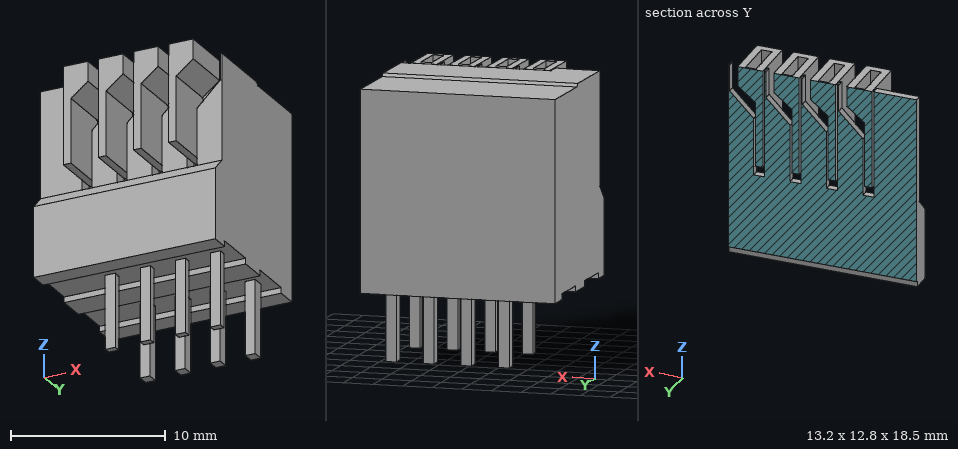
import cadquery as cq

BODY_WIDTH = 13.16
BODY_HEIGHT = 13.6
OVERALL_DEPTH = 12.8
OVERALL_HEIGHT = 18.47
PIN_DROP = OVERALL_HEIGHT - BODY_HEIGHT

BASE_DEPTH = 10.94
UPPER_DEPTH = 10.0
LEDGE_HEIGHT = 5.98
LEDGE_DROP = BASE_DEPTH - UPPER_DEPTH
TOP_STEP_DEPTH = 4.83
TOP_STEP_DROP = 0.2
NOTCH_HEIGHT = 0.4
NOTCH_LENGTH = 3.0
NOTCH_STARTS = (1.55, 6.6)

POSITIONS = 4
PITCH = 2.54

SLOT_LEFT = 3.02
SLOT_FOOT_WIDTH = 0.73
SLOT_HEAD_WIDTH = 2.42
SLOT_BEND_LOW = 10.05
SLOT_BEND_HIGH = 11.73
SLOT_DEPTH = 1.0
SLOT_REAR = UPPER_DEPTH - SLOT_DEPTH

SIDE_CLEARANCE = 0.09
REAR_CLEARANCE = 0.05
LEVER_LEFT = SLOT_LEFT + SIDE_CLEARANCE
LEVER_FOOT_WIDTH = SLOT_FOOT_WIDTH - 2 * SIDE_CLEARANCE
LEVER_HEAD_WIDTH = 1.78
LEVER_BOTTOM = 6.6
LEVER_BEND_LOW = 11.2
LEVER_BEND_HIGH = 12.17
LEVER_REAR = SLOT_REAR + REAR_CLEARANCE
LEVER_WALL = 0.53
LEVER_POCKET_DEPTH = 1.0

PIN_WIDTH = 0.73
PIN_CENTER_X = 4.25
REAR_PIN_CENTER = 3.02
REAR_PIN_THICKNESS = 0.82
FRONT_PIN_CENTER = 8.12
FRONT_PIN_THICKNESS = 0.5


def box(x_min, x_max, rear, front, z_min, z_max):
    """Block between two X, depth and Z limits; depth runs along -Y."""
    size = (x_max - x_min, front - rear, z_max - z_min)
    return cq.Workplane("XY").box(*size, centered=False).translate((x_min, -front, z_min))


def make_body():
    """Housing: one side profile extruded along X, with two notches across the underside."""
    step_z = BODY_HEIGHT - TOP_STEP_DROP
    profile = [
        (0, 0),
        (0, step_z),
        (-TOP_STEP_DEPTH, step_z),
        (-TOP_STEP_DEPTH - TOP_STEP_DROP, BODY_HEIGHT),
        (-UPPER_DEPTH, BODY_HEIGHT),
        (-UPPER_DEPTH, LEDGE_HEIGHT),
        (-BASE_DEPTH, LEDGE_HEIGHT - LEDGE_DROP),
        (-BASE_DEPTH, 0),
    ]
    body = cq.Workplane("YZ").polyline(profile).close().extrude(BODY_WIDTH)
    for start in NOTCH_STARTS:
        body = body.cut(box(0, BODY_WIDTH, start, start + NOTCH_LENGTH, 0, NOTCH_HEIGHT))
    return body


def cranked_block(left, foot_width, head_width, bottom, bend_low, bend_high, rear, front):
    """Block with a narrow foot that widens to the right through a sloped bend."""
    outline = [
        (left, bottom),
        (left + foot_width, bottom),
        (left + foot_width, bend_low),
        (left + head_width, bend_high),
        (left + head_width, BODY_HEIGHT),
        (left, BODY_HEIGHT),
    ]
    return cq.Workplane("XZ", origin=(0, -rear, 0)).polyline(outline).close().extrude(front - rear)


def make_slot():
    return cranked_block(
        SLOT_LEFT, SLOT_FOOT_WIDTH, SLOT_HEAD_WIDTH, LEDGE_HEIGHT,
        SLOT_BEND_LOW, SLOT_BEND_HIGH, SLOT_REAR, UPPER_DEPTH,
    )


def make_lever():
    """Cranked lever with a pocket in its top and a web joining its foot to the slot's rear wall."""
    lever = cranked_block(
        LEVER_LEFT, LEVER_FOOT_WIDTH, LEVER_HEAD_WIDTH, LEVER_BOTTOM,
        LEVER_BEND_LOW, LEVER_BEND_HIGH, LEVER_REAR, OVERALL_DEPTH,
    )
    pocket = box(
        LEVER_LEFT + LEVER_WALL, LEVER_LEFT + LEVER_HEAD_WIDTH - LEVER_WALL,
        LEVER_REAR + LEVER_WALL, OVERALL_DEPTH - LEVER_WALL,
        BODY_HEIGHT - LEVER_POCKET_DEPTH, BODY_HEIGHT,
    )
    web = box(
        LEVER_LEFT, LEVER_LEFT + LEVER_FOOT_WIDTH, SLOT_REAR, LEVER_REAR,
        LEVER_BOTTOM, LEVER_BEND_LOW,
    )
    return lever.cut(pocket).union(web)


def make_pin(center_depth, thickness):
    """Straight pin hanging from the roof of an underside notch."""
    return box(
        PIN_CENTER_X - PIN_WIDTH / 2, PIN_CENTER_X + PIN_WIDTH / 2,
        center_depth - thickness / 2, center_depth + thickness / 2,
        -PIN_DROP, NOTCH_HEIGHT,
    )


result = make_body()
for index in range(POSITIONS):
    shift = (index * PITCH, 0, 0)
    result = result.cut(make_slot().translate(shift))
    result = result.union(make_lever().translate(shift))
    result = result.union(make_pin(REAR_PIN_CENTER, REAR_PIN_THICKNESS).translate(shift))
    result = result.union(make_pin(FRONT_PIN_CENTER, FRONT_PIN_THICKNESS).translate(shift))